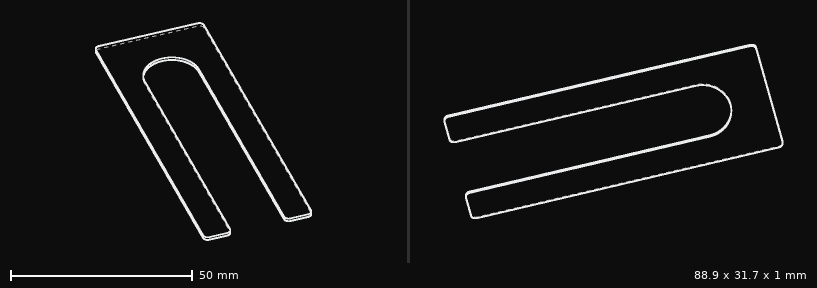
import cadquery as cq

length = 88.9
width = 31.7
thickness = 1.0
slot_width = width / 2
slot_radius = slot_width / 2
base_web = 11.1
corner_radius = 1.3

half_length = length / 2
half_width = width / 2
slot_end_x = base_web - half_length
slot_center_x = slot_end_x + slot_radius

outline = (
    cq.Workplane("XY")
    .moveTo(-half_length, -half_width)
    .lineTo(half_length, -half_width)
    .lineTo(half_length, -slot_radius)
    .lineTo(slot_center_x, -slot_radius)
    .threePointArc((slot_end_x, 0), (slot_center_x, slot_radius))
    .lineTo(half_length, slot_radius)
    .lineTo(half_length, half_width)
    .lineTo(-half_length, half_width)
    .close()
)
plate = outline.extrude(thickness)

result = plate.edges("|Z and (<X or >X)").fillet(corner_radius)